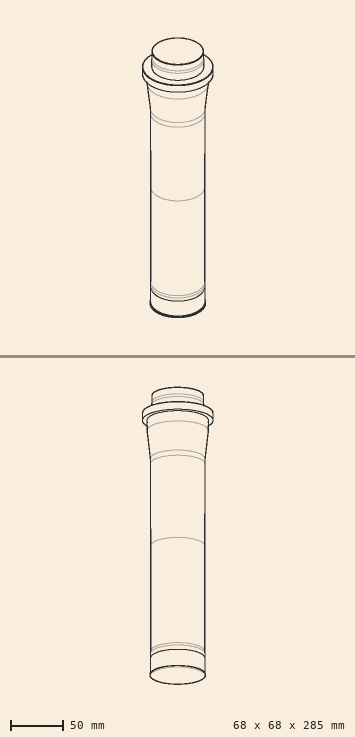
import cadquery as cq
import math

neck_top_diameter = 49.7
neck_base_diameter = 49.99
flange_diameter = 68.0
collar_diameter = 59.0
band_diameter = 52.65
grip_diameter = 52.11
tail_diameter = band_diameter
plug_diameter = 51.2

total_height = 284.98
plug_top = 19.5
tail_shoulder = 23.5
grip_bottom = 26.0
grip_top = 132.5
band_bottom = 215.5
band_top = 220.7
flare_top = 249.1
flange_bottom = 259.5
flange_top = 267.4
neck_cone_bottom = 275.3
neck_cone_top = 278.0

edge_chamfer = 0.5

bead_radius = 0.8
bead_center_radius = 26.0
bead_center_height = 2.15

tail_overhang = tail_diameter / 2 - bead_center_radius
seat_height = bead_center_height + math.sqrt(bead_radius**2 - tail_overhang**2)


def ring(diameter, height):
    """Profile point on the given diameter at the given height."""
    return (diameter / 2, height)


def turn(profile):
    """Revolve a closed half profile about the Z axis."""
    return profile.close().revolve(360, (0, 0, 0), (0, 1, 0))


def make_handle():
    """Turned handle with a socket in its tail: grip, gentle taper, flare, collar, flange and stepped neck."""
    profile = (
        cq.Workplane("XZ")
        .moveTo(0, plug_top)
        .lineTo(*ring(plug_diameter, plug_top))
        .lineTo(*ring(plug_diameter, seat_height))
        .lineTo(*ring(tail_diameter, seat_height))
        .lineTo(*ring(tail_diameter, tail_shoulder))
        .lineTo(*ring(grip_diameter, grip_bottom))
        .lineTo(*ring(grip_diameter, grip_top))
        .lineTo(*ring(band_diameter, band_bottom))
        .lineTo(*ring(band_diameter, band_top))
        .lineTo(*ring(collar_diameter, flare_top))
        .lineTo(*ring(collar_diameter, flange_bottom))
        .lineTo(*ring(flange_diameter, flange_bottom))
        .lineTo(*ring(flange_diameter, flange_top - edge_chamfer))
        .lineTo(*ring(flange_diameter - 2 * edge_chamfer, flange_top))
        .lineTo(*ring(neck_base_diameter, flange_top))
        .lineTo(*ring(neck_base_diameter, neck_cone_bottom))
        .lineTo(*ring(neck_top_diameter, neck_cone_top))
        .lineTo(*ring(neck_top_diameter, total_height - edge_chamfer))
        .lineTo(*ring(neck_top_diameter - 2 * edge_chamfer, total_height))
        .lineTo(0, total_height)
    )
    return turn(profile)


def make_foot():
    """Domed foot with a beaded rim and a plug filling the socket of the handle."""
    bead_clearance = bead_center_height - bead_radius
    dome_radius = (bead_center_radius**2 + bead_center_height**2 - bead_radius**2) / (2 * bead_clearance)
    dome_angle = math.asin(bead_center_radius / (dome_radius - bead_radius))

    def dome_point(angle):
        return (dome_radius * math.sin(angle), dome_radius * (1 - math.cos(angle)))

    profile = (
        cq.Workplane("XZ")
        .moveTo(0, 0)
        .threePointArc(dome_point(dome_angle / 2), dome_point(dome_angle))
        .threePointArc(
            (bead_center_radius + bead_radius, bead_center_height),
            ring(tail_diameter, seat_height),
        )
        .lineTo(*ring(plug_diameter, seat_height))
        .lineTo(*ring(plug_diameter, plug_top))
        .lineTo(0, plug_top)
    )
    return turn(profile)


handle = make_handle()
foot = make_foot()
result = cq.Compound.makeCompound([handle.val(), foot.val()])